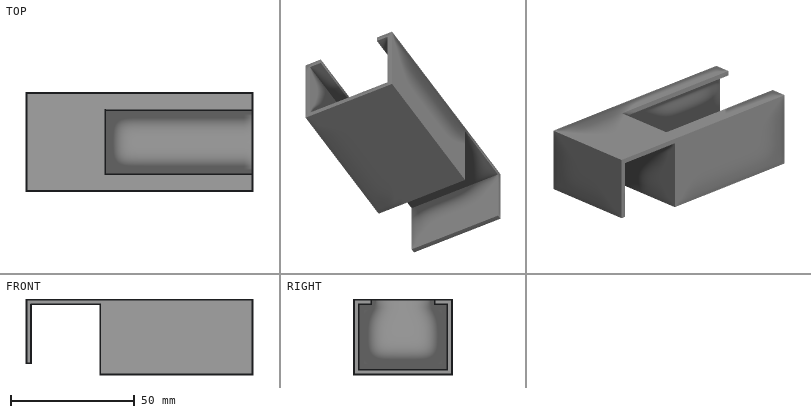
import cadquery as cq

length = 92.0
width = 40.0
height = 30.5
wall = 2.0
hook_drop = 26.0
hook_gap = 28.0
slot_width = 26.0

box_start = wall + hook_gap
cavity_start = box_start + wall
cavity_length = length - cavity_start


def box_at(x, z, size_x, size_y, size_z):
    """Box starting at x and z, centred on the Y symmetry plane."""
    return (
        cq.Workplane("XY")
        .box(size_x, size_y, size_z, centered=(False, True, False))
        .translate((x, 0, z))
    )


def hooked_body():
    """Solid box with a roof that runs forward and bends down into a hook."""
    roof = box_at(0, height - wall, length, width, wall)
    front_plate = box_at(0, height - hook_drop, wall, width, hook_drop)
    box = box_at(box_start, 0, length - box_start, width, height)
    return roof.union(front_plate).union(box)


def cavity():
    """Space inside the box, open at the +X end, between floor and roof."""
    return box_at(cavity_start, wall, cavity_length, width - 2 * wall, height - 2 * wall)


def roof_slot():
    """Slot through the roof that leaves a lip along each side wall."""
    return box_at(cavity_start, height - wall, cavity_length, slot_width, wall)


result = hooked_body().cut(cavity()).cut(roof_slot())